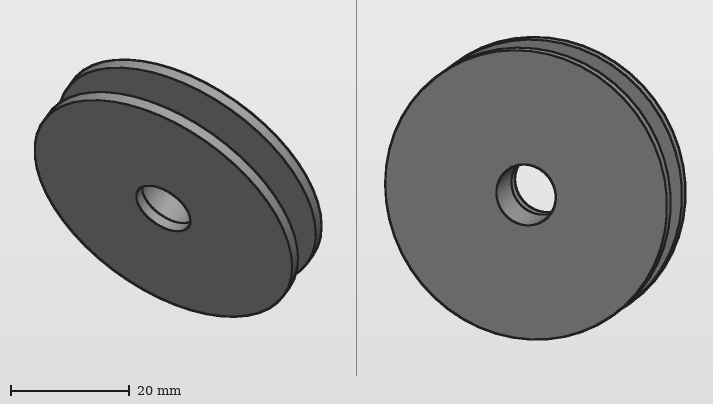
import cadquery as cq

flange_diameter = 50.0
spool_width = 10.0
flange_thickness = 2.0
hub_diameter = 17.0
bore_diameter = 10.5

front_face_y = -spool_width / 2
hub_length = spool_width - 2 * flange_thickness


def disc(diameter, start_y, length):
    """Solid cylinder along +Y, beginning at start_y."""
    return cq.Workplane("XZ", origin=(0, start_y, 0)).circle(diameter / 2).extrude(-length)


def bore():
    """Through hole shared by both bodies."""
    return disc(bore_diameter, front_face_y, spool_width)


def make_cover_flange():
    """Plain ring at the -Y end, flush against the hub."""
    return disc(flange_diameter, front_face_y, flange_thickness).cut(bore())


def make_flanged_hub():
    """Hub with the +Y flange in one piece."""
    hub_start_y = front_face_y + flange_thickness
    hub = disc(hub_diameter, hub_start_y, hub_length)
    flange = disc(flange_diameter, hub_start_y + hub_length, flange_thickness)
    return hub.union(flange).cut(bore())


cover_flange = make_cover_flange()
flanged_hub = make_flanged_hub()

result = cq.Compound.makeCompound([cover_flange.val(), flanged_hub.val()])